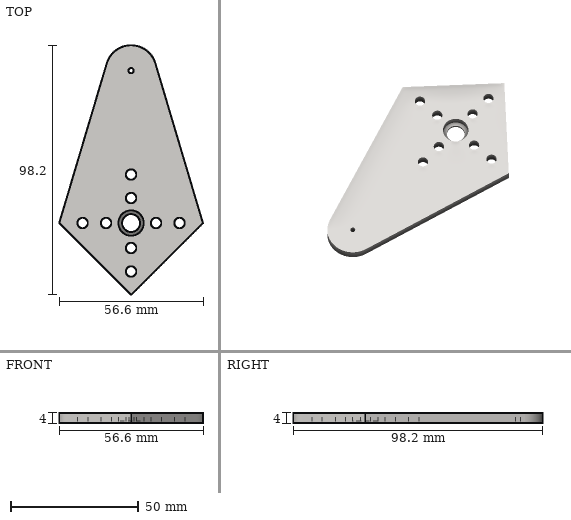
import cadquery as cq
import math

thickness = 4.0
half_width = 28.3
tip_radius = 10.0
length = 98.25
tip_y = length - half_width - tip_radius

tip_hole_diameter = 2.0
mount_hole_diameter = 4.0
mount_hole_offsets = (9.8, 19.1)
bore_diameter = 7.0
counterbore_diameter = 10.0
counterbore_depth = 3.0


def make_plate():
    corner_to_tip = math.hypot(half_width, tip_y)
    corner_direction = math.atan2(-tip_y, half_width)
    tangent_angle = corner_direction + math.acos(tip_radius / corner_to_tip)
    tangent_x = tip_radius * math.cos(tangent_angle)
    tangent_y = tip_y + tip_radius * math.sin(tangent_angle)
    return (
        cq.Workplane("XY")
        .moveTo(0, -half_width)
        .lineTo(half_width, 0)
        .lineTo(tangent_x, tangent_y)
        .threePointArc((0, tip_y + tip_radius), (-tangent_x, tangent_y))
        .lineTo(-half_width, 0)
        .close()
        .extrude(thickness)
    )


def mount_hole_points():
    points = []
    for offset in mount_hole_offsets:
        points += [(offset, 0), (-offset, 0), (0, offset), (0, -offset)]
    return points


def top_plane(plate):
    return plate.faces(">Z").workplane(origin=(0, 0, thickness))


result = make_plate()
result = top_plane(result).pushPoints([(0, tip_y)]).hole(tip_hole_diameter)
result = top_plane(result).pushPoints(mount_hole_points()).hole(mount_hole_diameter)
result = top_plane(result).cboreHole(bore_diameter, counterbore_diameter, counterbore_depth)